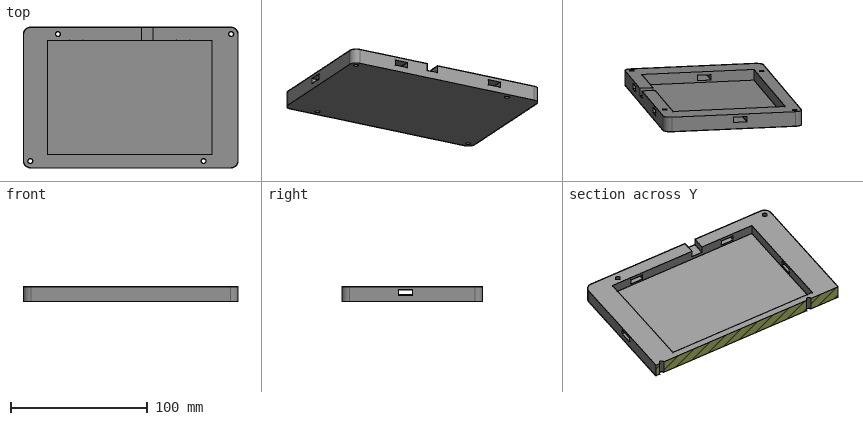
import cadquery as cq

LENGTH = 157.0
WIDTH = 103.0
HEIGHT = 11.0
CORNER_RADIUS = 5.5

POCKET_LENGTH = 120.0
POCKET_WIDTH = 83.5
POCKET_CENTER_X = -0.75
FLOOR_THICKNESS = 3.0

HOLE_DIAMETER = 3.4
HOLE_EDGE_INSET = 5.1
HOLE_FAR_INSET = 25.25

NOTCH_WIDTH = 8.5
NOTCH_CENTER_X = 12.1
NOTCH_FLOOR_Z = 5.6

WINDOW_WIDTH = 10.0
WINDOW_HEIGHT = 4.0
WINDOW_BOTTOM_Z = 4.5
LEFT_WINDOW_BOTTOM_Z = 5.0
SIDE_WINDOW_CENTER_Y = -4.9
BACK_WINDOW_SPACING = 78.0

POCKET_MAX_X = POCKET_CENTER_X + POCKET_LENGTH / 2
POCKET_MIN_X = POCKET_CENTER_X - POCKET_LENGTH / 2
POCKET_MAX_Y = POCKET_WIDTH / 2


def box_between(x_range, y_range, z_range):
    """Axis-aligned box spanning the given (low, high) ranges."""
    size = [high - low for low, high in (x_range, y_range, z_range)]
    corner = (x_range[0], y_range[0], z_range[0])
    return cq.Workplane("XY").box(*size, centered=False).translate(corner)


def span(center, size):
    """The (low, high) range of a given size about a center."""
    return (center - size / 2, center + size / 2)


def make_body():
    block = cq.Workplane("XY").box(LENGTH, WIDTH, HEIGHT, centered=(True, True, False))
    return block.edges("|Z").fillet(CORNER_RADIUS)


def make_pocket():
    return box_between(
        span(POCKET_CENTER_X, POCKET_LENGTH),
        span(0, POCKET_WIDTH),
        (FLOOR_THICKNESS, HEIGHT),
    )


def make_screw_holes():
    edge_x = LENGTH / 2 - HOLE_EDGE_INSET
    far_x = LENGTH / 2 - HOLE_FAR_INSET
    hole_y = WIDTH / 2 - HOLE_EDGE_INSET
    centers = [(edge_x, hole_y), (-far_x, hole_y), (-edge_x, -hole_y), (far_x, -hole_y)]
    return cq.Workplane("XY").pushPoints(centers).circle(HOLE_DIAMETER / 2).extrude(HEIGHT)


def make_notch():
    return box_between(
        span(NOTCH_CENTER_X, NOTCH_WIDTH),
        (POCKET_MAX_Y, WIDTH / 2),
        (NOTCH_FLOOR_Z, HEIGHT),
    )


def make_windows():
    """One window in each X wall, facing each other, and two in the +Y wall."""
    z_range = (WINDOW_BOTTOM_Z, WINDOW_BOTTOM_Z + WINDOW_HEIGHT)
    left_z_range = (LEFT_WINDOW_BOTTOM_Z, LEFT_WINDOW_BOTTOM_Z + WINDOW_HEIGHT)
    side_y_range = span(SIDE_WINDOW_CENTER_Y, WINDOW_WIDTH)
    back_y_range = (POCKET_MAX_Y, WIDTH / 2)
    windows = [
        box_between((-LENGTH / 2, POCKET_MIN_X), side_y_range, left_z_range),
        box_between((POCKET_MAX_X, LENGTH / 2), side_y_range, z_range),
    ]
    for center_x in span(POCKET_CENTER_X, BACK_WINDOW_SPACING):
        windows.append(box_between(span(center_x, WINDOW_WIDTH), back_y_range, z_range))
    return windows


result = make_body()
for cutter in [make_pocket(), make_screw_holes(), make_notch(), *make_windows()]:
    result = result.cut(cutter)